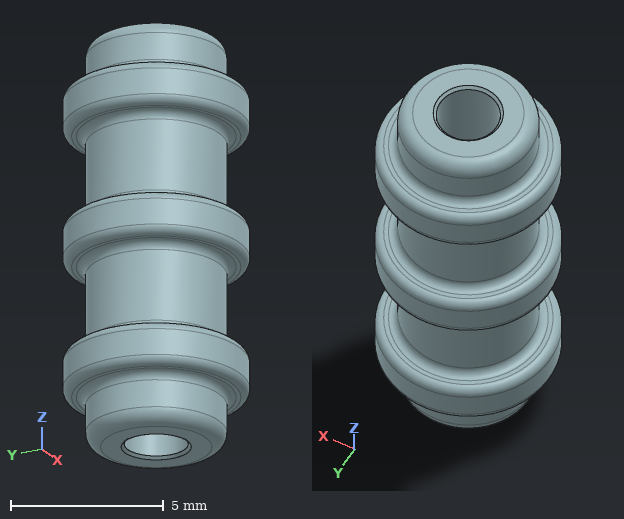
import cadquery as cq

length = 14.2
shaft_diameter = 4.65
collar_diameter = 6.15
bore_diameter = 2.1
collar_width = 1.5
collar_spacing = 4.6
collar_edge_radius = 0.3
collar_root_radius = 0.3
end_radius = 0.5
bore_chamfer = 0.1

shaft_radius = shaft_diameter / 2
collar_centers = [-collar_spacing, 0, collar_spacing]


def ring_edges(radius, heights):
    """Select the full-circle edges of one radius at the given heights."""
    selector = None
    tolerance = 0.001
    for height in heights:
        box = cq.selectors.BoxSelector(
            (-radius - tolerance, -radius - tolerance, height - tolerance),
            (radius + tolerance, radius + tolerance, height + tolerance),
            boundingbox=True,
        )
        selector = box if selector is None else selector + box
    return selector


def cylinder(diameter, height, center_height=0):
    """Vertical cylinder centred on the Z axis."""
    return cq.Workplane("XY").cylinder(height, diameter / 2).translate((0, 0, center_height))


shaft = cylinder(shaft_diameter, length).faces("<Z or >Z").edges().fillet(end_radius)

body = shaft
collar_faces = []
for center in collar_centers:
    collar = cylinder(collar_diameter, collar_width, center).edges("%CIRCLE").fillet(collar_edge_radius)
    body = body.union(collar)
    collar_faces += [center - collar_width / 2, center + collar_width / 2]

body = body.edges(ring_edges(shaft_radius, collar_faces)).fillet(collar_root_radius)

bore = cylinder(bore_diameter, length)
mouth_radius = bore_diameter / 2
result = body.cut(bore).edges(ring_edges(mouth_radius, [-length / 2, length / 2])).chamfer(bore_chamfer)